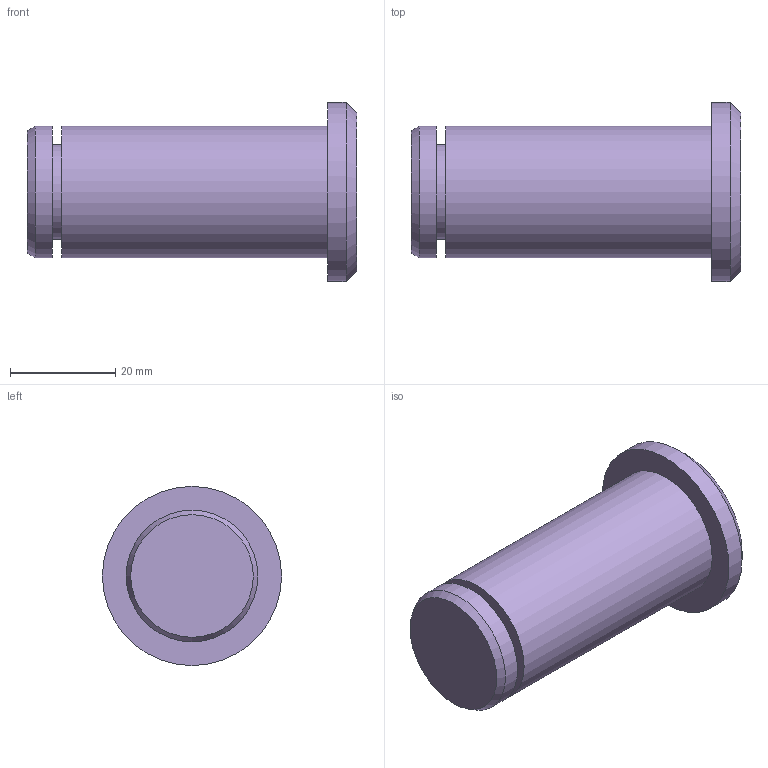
import cadquery as cq
import math

overall_length = 62.5
shank_diameter = 25.0
head_diameter = 34.0
head_thickness = 5.5
head_chamfer = 2.0

tip_chamfer_length = 1.5
tip_chamfer_angle = 30.0

groove_diameter = 18.0
groove_width = 1.75
groove_start = 4.75

shank_length = overall_length - head_thickness


def make_shank():
    """Shank from the free end at X = 0 to the head, with a tapered lead-in."""
    shank = cq.Workplane("YZ").circle(shank_diameter / 2).extrude(shank_length)
    tip_chamfer_depth = tip_chamfer_length * math.tan(math.radians(tip_chamfer_angle))
    tip_radius = shank_diameter / 2 - tip_chamfer_depth
    tip_cutter = (
        cq.Workplane("XY")
        .moveTo(0, tip_radius)
        .lineTo(tip_chamfer_length, shank_diameter / 2)
        .lineTo(0, shank_diameter / 2)
        .close()
        .revolve(360, (0, 0, 0), (1, 0, 0))
    )
    return shank.cut(tip_cutter)


def make_head():
    """Round head with its outer rim chamfered on the far face."""
    head_plane = cq.Workplane("YZ", origin=(shank_length, 0, 0))
    head = head_plane.circle(head_diameter / 2).extrude(head_thickness)
    return head.faces(">X").chamfer(head_chamfer)


def make_groove_cutter():
    """Ring that removes the retaining-ring groove."""
    return (
        cq.Workplane("YZ", origin=(groove_start, 0, 0))
        .circle(shank_diameter / 2)
        .circle(groove_diameter / 2)
        .extrude(groove_width)
    )


result = make_shank().union(make_head()).cut(make_groove_cutter())